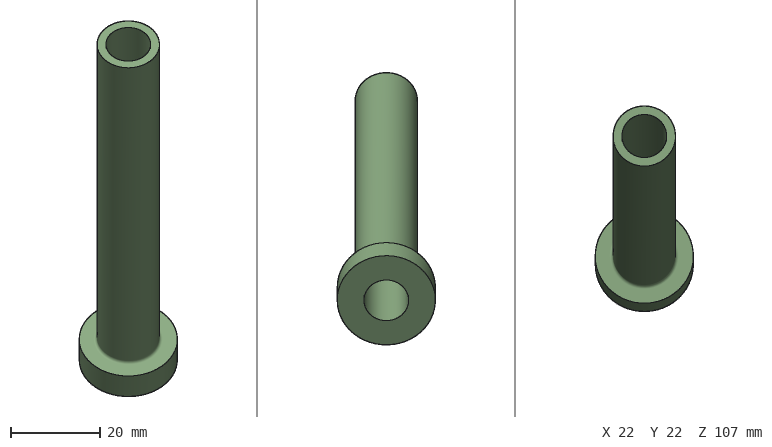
import cadquery as cq

total_length = 107.0
head_diameter = 22.0
head_thickness = 7.0
tube_diameter = 14.0
bore_diameter = 10.0
neck_fillet_radius = 0.7


def make_head():
    """Flat round head with its bottom face on Z = 0."""
    return cq.Workplane("XY").circle(head_diameter / 2).extrude(head_thickness)


def add_tube(body):
    """Long cylinder rising from the head to the full length."""
    tube = cq.Workplane("XY").circle(tube_diameter / 2).extrude(total_length)
    return body.union(tube)


def fillet_neck(body):
    """Round the inner corner where the tube meets the top face of the head."""
    head_top = body.faces("<Z[1]")
    smallest_circle = cq.selectors.RadiusNthSelector(0)
    return head_top.edges(smallest_circle).fillet(neck_fillet_radius)


def cut_bore(body):
    """Straight bore through the full length."""
    bore = cq.Workplane("XY").circle(bore_diameter / 2).extrude(total_length)
    return body.cut(bore)


head = make_head()
headed_tube = fillet_neck(add_tube(head))
result = cut_bore(headed_tube)